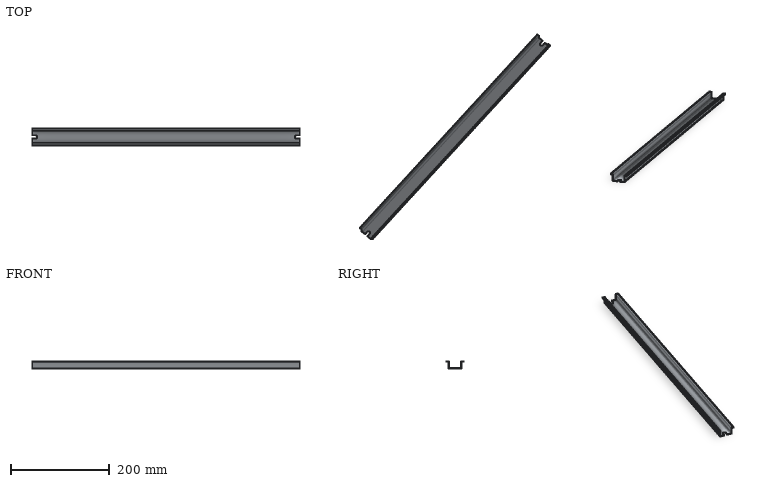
import cadquery as cq

rail_length = 543.0
rail_width = 35.0
rail_height = 15.0

sheet_thickness = 1.5
channel_width = 27.0
inner_bend_radius = 0.5
web_bend_radius = inner_bend_radius + sheet_thickness
flange_bend_radius = 1.8

slot_width = 6.3
slot_depth = 10.0

half_outer = channel_width / 2
half_inner = half_outer - sheet_thickness
flange_underside = rail_height - sheet_thickness


def make_blank():
    """Sharp-cornered hat section along X, centred on Y, with the web resting on Z = 0."""
    half_width = rail_width / 2
    positive_y_side = [
        (half_outer, 0),
        (half_outer, flange_underside),
        (half_width, flange_underside),
        (half_width, rail_height),
        (half_inner, rail_height),
        (half_inner, sheet_thickness),
    ]
    negative_y_side = [(-y, z) for y, z in reversed(positive_y_side)]
    section = cq.Workplane("YZ").polyline(positive_y_side + negative_y_side).close()
    return section.extrude(rail_length / 2, both=True)


def round_edge_pair(rail, half_spacing, height, radius):
    """Fillet the two lengthwise edges at +/- half_spacing in Y and the given height."""
    reach = sheet_thickness / 2
    positive_y_edge, negative_y_edge = [
        cq.selectors.BoxSelector(
            (-rail_length, y - reach, height - reach),
            (rail_length, y + reach, height + reach),
        )
        for y in (half_spacing, -half_spacing)
    ]
    return rail.edges("|X").edges(positive_y_edge + negative_y_edge).fillet(radius)


def round_bends(rail):
    """Round the outside and inside of the web bends, then of the flange bends."""
    rail = round_edge_pair(rail, half_outer, 0, web_bend_radius)
    rail = round_edge_pair(rail, half_inner, sheet_thickness, inner_bend_radius)
    rail = round_edge_pair(rail, half_inner, rail_height, flange_bend_radius)
    return round_edge_pair(rail, half_outer, flange_underside, inner_bend_radius)


def cut_end_slots(rail):
    """Cut a round-ended slot into the web from each end of the rail."""
    slots = (
        cq.Workplane("XY")
        .pushPoints([(-rail_length / 2, 0), (rail_length / 2, 0)])
        .slot2D(2 * slot_depth, slot_width)
        .extrude(sheet_thickness)
    )
    return rail.cut(slots)


result = cut_end_slots(round_bends(make_blank()))